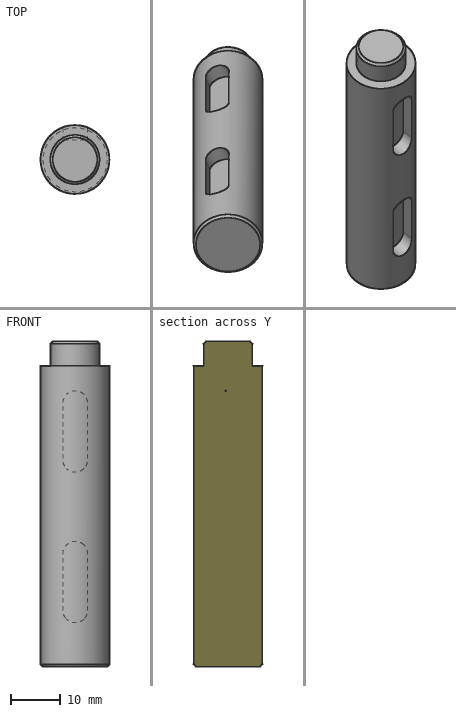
import cadquery as cq

BODY_DIAMETER = 14.0
BODY_LENGTH = 61.0
SPIGOT_DIAMETER = 10.0
SPIGOT_LENGTH = 5.0
END_CHAMFER = 0.5

SLOT_WIDTH = 5.0
SLOT_LENGTH = 16.5
SLOT_DEPTH = 3.0
UPPER_SLOT_TO_SHOULDER = 5.0
SLOT_PITCH = 30.5

UPPER_SLOT_CENTER = BODY_LENGTH - UPPER_SLOT_TO_SHOULDER - SLOT_LENGTH / 2
SLOT_CENTERS = (UPPER_SLOT_CENTER, UPPER_SLOT_CENTER - SLOT_PITCH)


def make_body():
    """Main cylinder with a chamfered lower end."""
    body = cq.Workplane("XY").circle(BODY_DIAMETER / 2).extrude(BODY_LENGTH)
    return body.faces("<Z").chamfer(END_CHAMFER)


def make_spigot():
    """Reduced-diameter end above the shoulder, with a chamfered tip."""
    spigot = (
        cq.Workplane("XY", origin=(0, 0, BODY_LENGTH))
        .circle(SPIGOT_DIAMETER / 2)
        .extrude(SPIGOT_LENGTH)
    )
    return spigot.faces(">Z").chamfer(END_CHAMFER)


def make_slot_cutter(center_z):
    """Round-ended keyway, long side along Z, sunk from +Y."""
    floor_y = BODY_DIAMETER / 2 - SLOT_DEPTH
    return (
        cq.Workplane("XZ", origin=(0, floor_y, center_z))
        .slot2D(SLOT_LENGTH, SLOT_WIDTH, angle=90)
        .extrude(-BODY_DIAMETER / 2)
    )


result = make_body().union(make_spigot())
for slot_center in SLOT_CENTERS:
    result = result.cut(make_slot_cutter(slot_center))